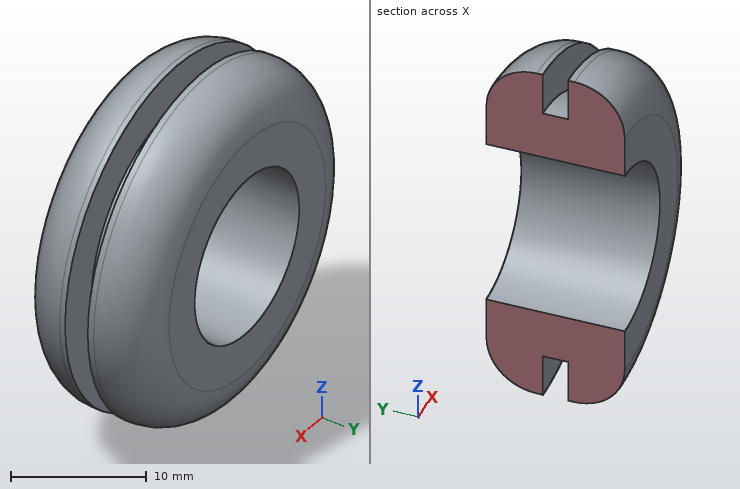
import cadquery as cq

outer_diameter = 29.0
bore_diameter = 14.0
groove_diameter = 22.0
total_width = 11.0
groove_width = 2.0
rounding_radius = 4.0

flange_width = (total_width - groove_width) / 2


def make_disc(diameter, width):
    """Disc centred on the origin with its axis along Y."""
    return cq.Workplane("XZ", origin=(0, width / 2, 0)).circle(diameter / 2).extrude(width)


def make_flange(side):
    """Flange on the +Y (side = 1) or -Y (side = -1) end, rounded at its outer face."""
    center_y = side * (groove_width + flange_width) / 2
    outer_face = ">Y" if side > 0 else "<Y"
    flange = make_disc(outer_diameter, flange_width).translate((0, center_y, 0))
    return flange.faces(outer_face).edges().fillet(rounding_radius)


body = make_disc(groove_diameter, groove_width)
for side in (-1, 1):
    body = body.union(make_flange(side))

result = body.cut(make_disc(bore_diameter, total_width))